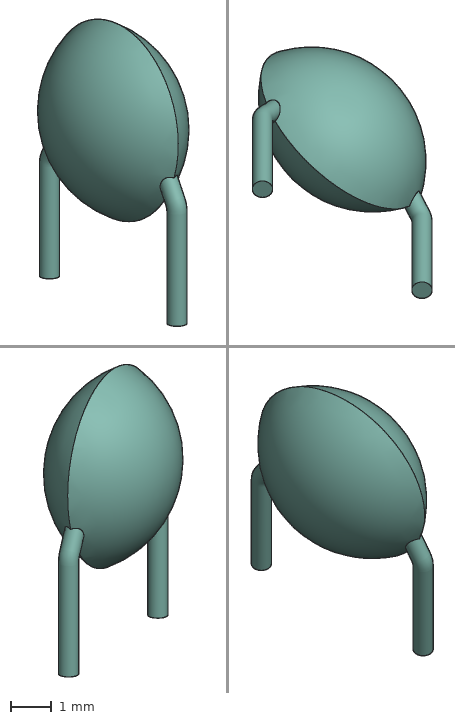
import cadquery as cq
import math

body_diameter = 5.1
body_thickness = 3.2
total_height = 7.19
lead_diameter = 0.5
lead_spacing = 5.0
lead_straight_height = 2.89
bend_radius = 0.5
bend_angle = 30.0
upper_lead_length = 1.295

body_radius = body_diameter / 2
body_center_z = total_height - body_radius


def make_body():
    """Lens with a sharp rim: the overlap of two equal spheres set apart along Y."""
    half_thickness = body_thickness / 2
    sphere_radius = (body_radius**2 + half_thickness**2) / body_thickness
    sphere_offset = sphere_radius - half_thickness
    sphere = cq.Workplane("XY").sphere(sphere_radius)
    front_sphere = sphere.translate((0, -sphere_offset, body_center_z))
    rear_sphere = sphere.translate((0, sphere_offset, body_center_z))
    return front_sphere.intersect(rear_sphere)


def make_left_lead():
    """Round wire: straight up, bent inward, then straight into the body."""
    bend_center_x = -lead_spacing / 2 + bend_radius

    def bend_point(angle_degrees):
        angle = math.radians(angle_degrees)
        return (
            bend_center_x - bend_radius * math.cos(angle),
            lead_straight_height + bend_radius * math.sin(angle),
        )

    bend_end = bend_point(bend_angle)
    lean = math.radians(bend_angle)
    lead_tip = (
        bend_end[0] + upper_lead_length * math.sin(lean),
        bend_end[1] + upper_lead_length * math.cos(lean),
    )
    path = (
        cq.Workplane("XZ")
        .moveTo(-lead_spacing / 2, 0)
        .lineTo(-lead_spacing / 2, lead_straight_height)
        .threePointArc(bend_point(bend_angle / 2), bend_end)
        .lineTo(*lead_tip)
    )
    section = cq.Workplane("XY").center(-lead_spacing / 2, 0).circle(lead_diameter / 2)
    return section.sweep(path)


left_lead = make_left_lead()
right_lead = left_lead.mirror("YZ")
result = make_body().union(left_lead).union(right_lead)